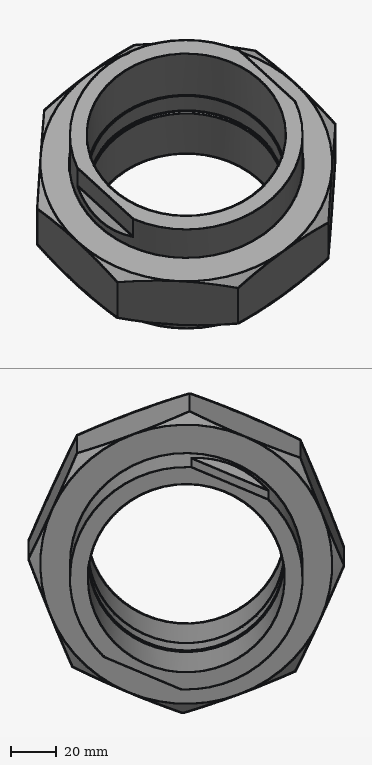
import cadquery as cq
import math


across_flats = 128.0
total_height = 75.0
nut_height = 33.0
half_height = total_height / 2

cut_margin = 1.3

nut_sides = 8
corner_chamfer_angle = 30.0
nut_clearance = 0.4

tail_diameter = 102.0
tail_radius = tail_diameter / 2
socket_radius = 43.6
lip_radius = 43.1
socket_depth = 31.2
joint_z = -7.0

groove_depth = 1.3
groove_height = 2.3

flat_distance = 95.1
flat_length = 13.5


def disc(radius, bottom, top):
    """Solid cylinder on the Z axis between two heights."""
    return cq.Workplane("XY").workplane(offset=bottom).circle(radius).extrude(top - bottom)


def make_corner_limit():
    """Double cone that trims the nut corners at both end faces."""
    face_radius = across_flats / 2
    corner_radius = face_radius / math.cos(math.pi / nut_sides)
    rim_radius = corner_radius + cut_margin
    rim_z = nut_height / 2 - (rim_radius - face_radius) * math.tan(math.radians(corner_chamfer_angle))
    return (
        cq.Workplane("XZ")
        .moveTo(0, -nut_height / 2)
        .lineTo(face_radius, -nut_height / 2)
        .lineTo(rim_radius, -rim_z)
        .lineTo(rim_radius, rim_z)
        .lineTo(face_radius, nut_height / 2)
        .lineTo(0, nut_height / 2)
        .close()
        .revolve(360, (0, 0, 0), (0, 1, 0))
    )


def make_nut():
    """Octagonal nut, clear of the upper tail and fitted to the lower one."""
    octagon = (
        cq.Workplane("XY")
        .workplane(offset=-nut_height / 2)
        .polygon(nut_sides, across_flats, circumscribed=True)
        .extrude(nut_height)
    )
    fit_bore = disc(tail_radius, -nut_height / 2, joint_z)
    clearance_bore = disc(tail_radius + nut_clearance, joint_z, nut_height / 2)
    return octagon.intersect(make_corner_limit()).cut(fit_bore).cut(clearance_bore)


def make_flat_cutter(end, side):
    """Wrench flat with a 45 degree run-out; end and side are +1 or -1."""
    flat_y = flat_distance / 2
    reach = tail_radius + cut_margin - flat_y
    flat_end_z = half_height - flat_length
    return (
        cq.Workplane("YZ")
        .moveTo(side * flat_y, end * half_height)
        .lineTo(side * flat_y, end * flat_end_z)
        .lineTo(side * (flat_y + reach), end * (flat_end_z - reach))
        .lineTo(side * (flat_y + reach), end * half_height)
        .close()
        .extrude(tail_radius, both=True)
    )


def cut_wrench_flats(tail, end):
    """Cut the pair of opposite flats at one end of the union."""
    for side in (-1, 1):
        tail = tail.cut(make_flat_cutter(end, side))
    return tail


def make_upper_tail():
    """Upper sleeve with a pipe socket, a stop lip and the joint groove."""
    tail = disc(tail_radius, joint_z, half_height)
    tail = tail.cut(disc(lip_radius, joint_z, half_height))
    tail = tail.cut(disc(socket_radius, half_height - socket_depth, half_height))
    tail = tail.cut(disc(lip_radius + groove_depth, joint_z, joint_z + groove_height))
    return cut_wrench_flats(tail, 1)


def make_lower_tail():
    """Lower sleeve with a plain bore."""
    tail = disc(tail_radius, -half_height, joint_z)
    tail = tail.cut(disc(lip_radius, -half_height, joint_z))
    return cut_wrench_flats(tail, -1)


nut = make_nut()
upper_tail = make_upper_tail()
lower_tail = make_lower_tail()

result = cq.Compound.makeCompound([nut.val(), upper_tail.val(), lower_tail.val()])